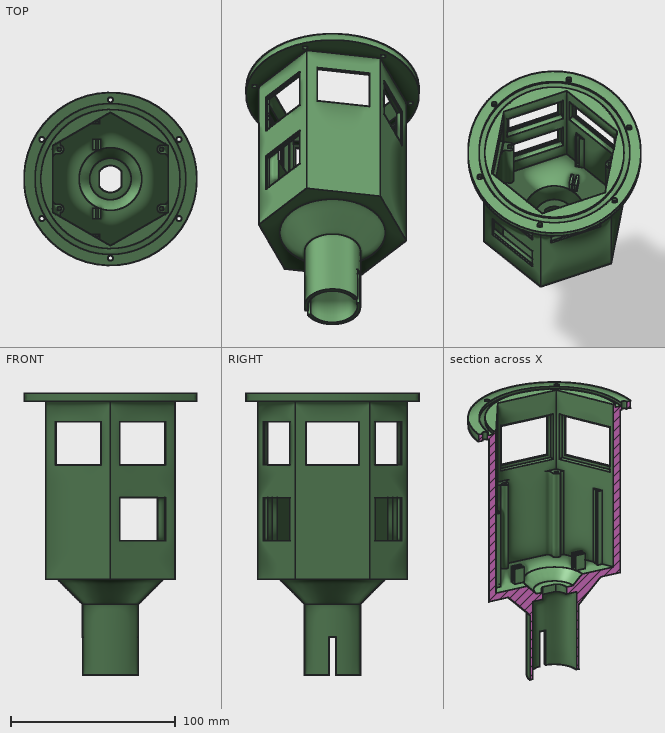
import cadquery as cq
import math

tube_radius = 17.0
tube_height = 43.0
tube_wall = 2.0
slot_width = 4.0
slot_height = 23.0
cone_height = 15.0
cone_top_radius = tube_radius + cone_height

body_height = 108.0
inner_apothem = 35.0
corner_wall = 4.95
floor_thickness = 5.0

flange_diameter = 105.0
flange_thickness = 5.0
groove_inner_radius = 42.2
groove_outer_radius = 45.8
groove_depth = 2.0
screw_count = 6
screw_hole_diameter = 3.0
screw_circle_radius = 48.0

funnel_top_radius = 19.0
funnel_bottom_radius = 12.6
seat_thickness = 5.0
seat_hole_radius = 8.1
seat_hole_flats = 13.4

window_width = 32.0
window_height = 26.0
recess_margin = 2.0
window_lip = 1.2
upper_window_drop = 30.5
window_spacing = 46.0
upper_window_angles = [0, 60, 120, 180, 240, 300]
lower_window_angles = [60, 300]

post_x = 31.0
post_y = 18.0
post_radius = 2.6
post_hole_diameter = 2.5
post_hole_depth = 15.0
post_top_z = 118.5
left_web_x = 30.5
post_fillet = 2.7

board_thickness = 1.6
board_half_width = 35.0
board_x = -8.2
rail_thickness = 1.6
floor_guide_inner_y = 17.7
floor_guide_outer_y = 24.2
floor_guide_height = 10.0
wall_guide_inner_y = 33.4
wall_guide_edge_x = -6.6
wall_guide_top_z = 112.0
board_slot_bottom = 1.6

cone_top_z = tube_height + cone_height
body_top_z = cone_top_z + body_height
top_z = body_top_z + flange_thickness
floor_z = cone_top_z + floor_thickness
inner_corner_radius = inner_apothem / math.cos(math.pi / 6)
outer_corner_radius = inner_corner_radius + corner_wall
mid_wall_corner_radius = inner_corner_radius + corner_wall / 2
outer_apothem = outer_corner_radius * math.cos(math.pi / 6)
seat_top_z = floor_z - (funnel_top_radius - funnel_bottom_radius)
bore_radius = tube_radius - tube_wall
upper_window_z = top_z - upper_window_drop
lower_window_z = upper_window_z - window_spacing
post_side_y = post_y + post_radius


def cylinder(radius, z_from, z_to):
    return cq.Workplane("XY").workplane(offset=z_from).circle(radius).extrude(z_to - z_from)


def cone(bottom_radius, top_radius, z_from, z_to):
    base = cq.Vector(0, 0, z_from)
    return cq.Workplane(cq.Solid.makeCone(bottom_radius, top_radius, z_to - z_from, pnt=base))


def hexagon(corner_radius, z_from, z_to):
    prism = cq.Workplane("XY").workplane(offset=z_from).polygon(6, 2 * corner_radius).extrude(z_to - z_from)
    return prism.rotate((0, 0, 0), (0, 0, 1), 30)


def block(x_range, y_range, z_range):
    size = [high - low for low, high in (x_range, y_range, z_range)]
    return cq.Workplane("XY").box(*size, centered=False).translate((x_range[0], y_range[0], z_range[0]))


def housing():
    shell = cylinder(tube_radius, 0, tube_height)
    shell = shell.union(cone(tube_radius, cone_top_radius, tube_height, cone_top_z))
    shell = shell.union(hexagon(outer_corner_radius, cone_top_z, body_top_z))
    shell = shell.union(cylinder(flange_diameter / 2, body_top_z, top_z))
    return shell.cut(hexagon(inner_corner_radius, floor_z, top_z))


def flange_cuts():
    groove = cylinder(groove_outer_radius, top_z - groove_depth, top_z)
    groove = groove.cut(cylinder(groove_inner_radius, top_z - groove_depth, top_z))
    screw_holes = (
        cq.Workplane("XY").workplane(offset=body_top_z)
        .polarArray(screw_circle_radius, 90, 360, screw_count)
        .circle(screw_hole_diameter / 2).extrude(flange_thickness)
    )
    return groove.union(screw_holes)


def tube_cuts():
    bore = cylinder(bore_radius, 0, seat_top_z - seat_thickness)
    slot = block((-tube_radius, tube_radius), (-slot_width / 2, slot_width / 2), (0, slot_height))
    funnel = cone(funnel_bottom_radius, funnel_top_radius, seat_top_z, floor_z)
    half_flats = seat_hole_flats / 2
    seat_hole = cylinder(seat_hole_radius, 0, seat_top_z).intersect(
        block((-half_flats, half_flats), (-seat_hole_radius, seat_hole_radius), (0, seat_top_z))
    )
    return bore.union(slot).union(funnel).union(seat_hole)


def window(angle, center_z):
    """Cutter for one wall opening and the pane recess behind it."""
    wall = outer_apothem - inner_apothem
    opening = cq.Workplane("XY").box(wall, window_width, window_height)
    opening = opening.translate((inner_apothem + wall / 2, 0, center_z))
    recess_depth = wall - window_lip
    recess = cq.Workplane("XY").box(
        recess_depth, window_width + 2 * recess_margin, window_height + 2 * recess_margin
    )
    recess = recess.translate((inner_apothem + recess_depth / 2, 0, center_z))
    return opening.union(recess).rotate((0, 0, 0), (0, 0, 1), angle)


def corner_post(web_top):
    """Post in the +X +Y corner, flared into the X flat.

    web_top lists the points that close the web outline from the slanted wall back to the post.
    """
    height = post_top_z - floor_z
    flared_side_y = post_y - post_radius
    flare_offset = post_fillet * (1 - math.sqrt(0.5))
    web = (
        cq.Workplane("XY").workplane(offset=floor_z)
        .moveTo(post_x, flared_side_y)
        .lineTo(inner_apothem - post_fillet, flared_side_y)
        .threePointArc(
            (inner_apothem - flare_offset, flared_side_y - flare_offset),
            (inner_apothem, flared_side_y - post_fillet),
        )
        .lineTo(outer_apothem, flared_side_y - post_fillet)
    )
    for point in web_top:
        web = web.lineTo(*point)
    web = web.close().extrude(height)
    post = web.union(cylinder(post_radius, floor_z, post_top_z).translate((post_x, post_y, 0)))
    post = post.intersect(hexagon(mid_wall_corner_radius, floor_z, post_top_z))
    hole = cylinder(post_hole_diameter / 2, post_top_z - post_hole_depth, post_top_z)
    return post.cut(hole.translate((post_x, post_y, 0)))


def board_guides():
    """Slotted floor guide and wall guide on the +Y side."""
    board_faces = (board_x - board_thickness / 2, board_x + board_thickness / 2)
    guide_faces = (board_faces[0] - rail_thickness, board_faces[1] + rail_thickness)
    floor_guide_top_z = floor_z + floor_guide_height
    floor_guide = block(
        guide_faces, (floor_guide_inner_y, floor_guide_outer_y), (floor_z, floor_guide_top_z)
    )
    wall_guide = block(
        (-inner_apothem, wall_guide_edge_x),
        (wall_guide_inner_y, outer_corner_radius),
        (floor_z, wall_guide_top_z),
    )
    wall_guide = wall_guide.intersect(
        hexagon(mid_wall_corner_radius, floor_z, wall_guide_top_z)
    )
    slot_z = floor_z + board_slot_bottom
    board = block(board_faces, (0, board_half_width), (slot_z, wall_guide_top_z))
    return floor_guide.union(wall_guide).cut(board)


part = housing().cut(flange_cuts()).cut(tube_cuts())

right_post = corner_post([(outer_apothem, post_side_y), (post_x, post_side_y)])
left_post = corner_post(
    [
        (outer_apothem, outer_apothem),
        (left_web_x, outer_apothem),
        (left_web_x, post_y),
        (post_x, post_y),
    ]
).mirror("YZ")
for post in (right_post, left_post):
    part = part.union(post).union(post.mirror("XZ"))

guides = board_guides()
part = part.union(guides).union(guides.mirror("XZ"))

for angle in upper_window_angles:
    part = part.cut(window(angle, upper_window_z))
for angle in lower_window_angles:
    part = part.cut(window(angle, lower_window_z))

result = part